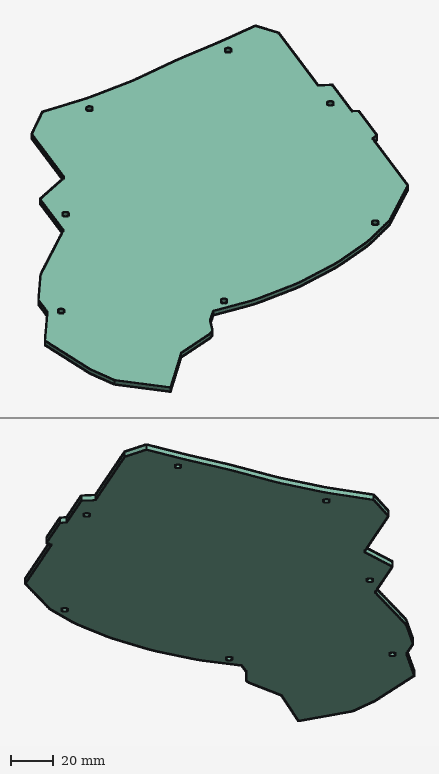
import cadquery as cq
import math

length_x = 189.19
length_y = 200.41
thickness = 3.0
hole_diameter = 3.0

right = length_x / 2
left = -right
top = length_y / 2
bottom = -top
upper_edge = 97.4
left_shoulder = 91.4
left_foot = -41.7
step_foot = -58.4
lower_flat = -90.3

bend_setback = 2.9

upper_left_corner = [(left, 84.0), (-85.4, left_shoulder)]
upper_steps = [
    (-46.4, left_shoulder),
    (-43.6, upper_edge),
    (-24.1, upper_edge),
    (-22.6, top),
    (-4.5, top),
    (-3.8, upper_edge),
]
upper_right_corner = [(31.0, upper_edge), (47.1, 79.0)]
right_side_bends = [(54.3, 63.9), (59.8, 44.4), (62.9, 22.0), (62.9, -1.2)]
right_notch = [(60.1, -21.6), (64.4, -25.6), (71.3, -28.0), (72.5, -30.0)]
lower_right_lobe = [
    (77.1, -47.8),
    (right, -62.9),
    (78.0, -83.7),
    (66.3, -90.4),
    (39.8, bottom),
    (23.9, lower_flat),
]
lower_left_slope = [(15.0, lower_flat), (1.4, -81.9), (0.1, -80.7), (-19.6, step_foot)]
lower_step = [(-42.7, step_foot), (-49.7, left_foot)]
lower_left_corner = [(-81.9, left_foot), (-92.3, -30.4)]
left_side_bends = [(-90.2, -7.3), (-90.2, 16.6), (-92.4, 41.6), (-93.2, 64.0)]

hole_centres = [
    (-33.3, 90.8),
    (45.2, 72.4),
    (-86.6, 65.2),
    (-83.7, -10.0),
    (56.7, -14.1),
    (-28.3, -52.5),
    (26.4, -84.3),
]


def point_towards(start, target, distance):
    """Return the point at a distance from start on the line to target."""
    fraction = distance / math.dist(start, target)
    x = start[0] + (target[0] - start[0]) * fraction
    y = start[1] + (target[1] - start[1]) * fraction
    return x, y


def add_sharp_corners(sketch, corners):
    """Continue the outline with straight lines through the corners."""
    for corner in corners:
        sketch = sketch.lineTo(*corner)
    return sketch


def add_rounded_bends(sketch, bends, previous, following):
    """Continue the outline through bends that lie between two other corners, rounding each bend."""
    befores = [previous] + bends[:-1]
    afters = bends[1:] + [following]
    for before, bend, after in zip(befores, bends, afters):
        arc_start = point_towards(bend, before, bend_setback)
        arc_end = point_towards(bend, after, bend_setback)
        sketch = sketch.lineTo(*arc_start).tangentArcPoint(arc_end, relative=False)
    return sketch


def plate_blank():
    """Extrude the outline, which runs clockwise from the upper end of the left side."""
    upper_corners = upper_left_corner + upper_steps + upper_right_corner
    lower_corners = right_notch + lower_right_lobe + lower_left_slope + lower_step + lower_left_corner

    outline = cq.Workplane("XY").moveTo(*upper_corners[0])
    outline = add_sharp_corners(outline, upper_corners[1:])
    outline = add_rounded_bends(outline, right_side_bends, upper_corners[-1], lower_corners[0])
    outline = add_sharp_corners(outline, lower_corners)
    outline = add_rounded_bends(outline, left_side_bends, lower_corners[-1], upper_corners[0])
    return outline.close().extrude(thickness)


def drill_holes(plate):
    """Drill the screw holes through the plate."""
    holes = cq.Workplane("XY").pushPoints(hole_centres).circle(hole_diameter / 2).extrude(thickness)
    return plate.cut(holes)


result = drill_holes(plate_blank())